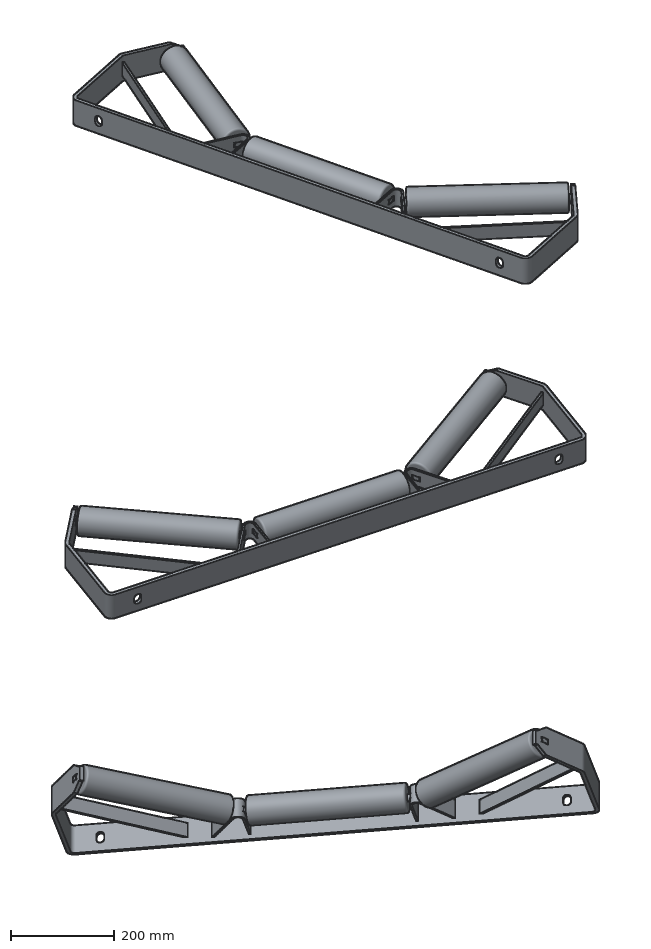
import cadquery as cq
import math

TOTAL_LENGTH = 1050.0
TOTAL_DEPTH = 291.0
BAR_WIDTH = 60.0
BAR_THICKNESS = 8.0
BAR_BEND_RADIUS = 16.0
TILT = 35.0
ARM_BEND_Y = 183.0

ARM_TAPER_LENGTH = 23.0
ARM_TAPER_DEPTH = 15.0
ARM_TIP_LENGTH = 5.0

MOUNT_SLOT_X = 460.0
MOUNT_SLOT_WIDTH = 16.0
MOUNT_SLOT_HEIGHT = 23.0

ROLLER_LENGTH = 315.0
ROLLER_DIAMETER = 60.0
ROLLER_EDGE_RADIUS = 4.0
ROLLER_GAP = 5.0
CENTRE_ROLLER_Y = 71.0
SIDE_ROLLER_DROP = 25.0

SHAFT_DIAMETER = 15.0
SHAFT_FLAT_WIDTH = 10.0
SEAT_SLOT_LENGTH = 18.0

BRACKET_THICKNESS = 4.0
BRACKET_WIDTH = 40.0
BRACKET_TOP_RADIUS = 14.0

BRACE_THICKNESS = 5.0
BRACE_WIDTH = 30.0
BRACE_FOOT_X = 291.0

HALF_LENGTH = TOTAL_LENGTH / 2
HALF_SPAN = ROLLER_LENGTH / 2 + ROLLER_GAP
COS_TILT = math.cos(math.radians(TILT))
SIN_TILT = math.sin(math.radians(TILT))
AXIS = cq.Vector(COS_TILT, -SIN_TILT, 0)
ARM = cq.Vector(SIN_TILT, COS_TILT, 0)
ALONG_X = cq.Vector(1, 0, 0)

ARM_BEND = cq.Vector(-HALF_LENGTH, ARM_BEND_Y, 0)
ARM_TIP = ARM_BEND + ARM * ((TOTAL_DEPTH - ARM_BEND_Y) / COS_TILT)
LEFT_CENTRE = ARM_TIP - ARM * SIDE_ROLLER_DROP + AXIS * (BAR_THICKNESS + HALF_SPAN)
MIDDLE_CENTRE = cq.Vector(0, CENTRE_ROLLER_Y, 0)


def mirror_x(point):
    return cq.Vector(-point.x, point.y, point.z)


def left_normal(start, end):
    direction = (end - start).normalized()
    return cq.Vector(-direction.y, direction.x, 0)


def bent_strip(outside, thickness, width, bend_radius):
    """Flat bar bent along the points of its outside; the bar lies to the left of the path."""
    normals = [left_normal(a, b) for a, b in zip(outside, outside[1:])]
    inside = [outside[0] + normals[0] * thickness]
    for corner, before, after in zip(outside[1:], normals, normals[1:]):
        inside.append(corner + (before + after) * (thickness / (1 + before.dot(after))))
    inside.append(outside[-1] + normals[-1] * thickness)

    outline = [(p.x, p.y) for p in outside + inside[::-1]]
    strip = cq.Workplane("XY").polyline(outline).close().extrude(width / 2, both=True)
    for corners, radius in ((outside, bend_radius), (inside, bend_radius - thickness)):
        for corner in corners[1:-1]:
            strip = strip.edges(cq.selectors.NearestToPointSelector(corner.toTuple())).fillet(radius)
    return strip


def roller_plane(centre, axis):
    """Local z runs along the roller and local y along Z."""
    return cq.Workplane(cq.Plane(origin=centre, xDir=axis.cross(cq.Vector(0, 0, -1)), normal=axis))


def seat_slot(centre, axis, side, depth):
    """Cutter for the slot that holds one shaft end, in a plate of the given thickness."""
    plate_middle = centre + axis * (side * (HALF_SPAN + depth / 2))
    through = 2 * depth
    return roller_plane(plate_middle, axis).box(SEAT_SLOT_LENGTH, SHAFT_FLAT_WIDTH, through)


def arm_corner(side):
    """Cutter that narrows one corner of the left arm: a taper, then a straight narrow tip."""
    edge = side * BAR_WIDTH / 2
    narrow_edge = side * (BAR_WIDTH / 2 - ARM_TAPER_DEPTH)
    outline = [(0, edge),
               (-ARM_TIP_LENGTH - ARM_TAPER_LENGTH, edge),
               (-ARM_TIP_LENGTH, narrow_edge),
               (0, narrow_edge)]
    return roller_plane(ARM_TIP, AXIS).polyline(outline).close().extrude(BAR_THICKNESS)


def make_frame():
    base_corner = cq.Vector(-HALF_LENGTH, 0, 0)
    left_side = [ARM_TIP, ARM_BEND, base_corner]
    outside = left_side + [mirror_x(p) for p in reversed(left_side)]
    frame = bent_strip(outside, BAR_THICKNESS, BAR_WIDTH, BAR_BEND_RADIUS)

    arm_cuts = [arm_corner(1), arm_corner(-1), seat_slot(LEFT_CENTRE, AXIS, -1, BAR_THICKNESS)]
    for cutter in arm_cuts:
        frame = frame.cut(cutter).cut(cutter.mirror("YZ"))

    mount_slots = (cq.Workplane("XZ").pushPoints([(-MOUNT_SLOT_X, 0), (MOUNT_SLOT_X, 0)])
                   .slot2D(MOUNT_SLOT_HEIGHT, MOUNT_SLOT_WIDTH, 90)
                   .extrude(-BAR_THICKNESS))
    return frame.cut(mount_slots)


def make_bracket():
    """Left bracket: an upright leg for the middle roller and a tilted one for the side roller."""
    upright_x = -HALF_SPAN
    tilted_face = LEFT_CENTRE + AXIS * HALF_SPAN
    peak = tilted_face + ARM * ((upright_x - tilted_face.x) / SIN_TILT)
    below_base = tilted_face - ARM * (tilted_face.y / COS_TILT)
    bracket = bent_strip([cq.Vector(upright_x, 0, 0), peak, below_base],
                         BRACKET_THICKNESS, BRACKET_WIDTH, BRACKET_TOP_RADIUS)
    base_bar = cq.Workplane("XY").box(TOTAL_LENGTH, 2 * BAR_THICKNESS, BAR_WIDTH)
    return (bracket.cut(base_bar)
            .cut(seat_slot(LEFT_CENTRE, AXIS, 1, BRACKET_THICKNESS))
            .cut(seat_slot(MIDDLE_CENTRE, ALONG_X, -1, BRACKET_THICKNESS)))


def make_brace(frame):
    """Left brace, from the arm bend down to the base bar, ending flush on the frame."""
    foot = cq.Vector(-BRACE_FOOT_X, BAR_THICKNESS, 0)
    head = ARM_BEND + ALONG_X * (BAR_THICKNESS / 2)
    offset = left_normal(foot, head) * (BRACE_THICKNESS / 2)
    overrun = (foot - head).normalized() * (BRACE_THICKNESS / 2)
    outline = [head + offset, head - offset, foot + overrun - offset, foot + overrun + offset]
    brace = (cq.Workplane("XY").polyline([(p.x, p.y) for p in outline]).close()
             .extrude(BRACE_WIDTH / 2, both=True))
    return brace.cut(frame)


def make_roller(centre, axis, first_plate, second_plate):
    """Roller with its shaft; the flattened shaft ends fill the thickness of the two plates."""
    roller = (roller_plane(centre - axis * (ROLLER_LENGTH / 2), axis)
              .circle(ROLLER_DIAMETER / 2).extrude(ROLLER_LENGTH)
              .edges().fillet(ROLLER_EDGE_RADIUS))
    middle = roller_plane(centre, axis)
    roller = roller.union(middle.circle(SHAFT_DIAMETER / 2).extrude(HALF_SPAN, both=True))
    for side, plate in ((-1, first_plate), (1, second_plate)):
        reach = side * (HALF_SPAN + plate)
        flats = middle.rect(SHAFT_DIAMETER, SHAFT_FLAT_WIDTH).extrude(reach)
        roller = roller.union(middle.circle(SHAFT_DIAMETER / 2).extrude(reach).intersect(flats))
    return roller


frame = make_frame()
bracket = make_bracket()
brace = make_brace(frame)
side_roller = make_roller(LEFT_CENTRE, AXIS, BAR_THICKNESS, BRACKET_THICKNESS)
middle_roller = make_roller(MIDDLE_CENTRE, ALONG_X, BRACKET_THICKNESS, BRACKET_THICKNESS)

solids = [frame.val(), middle_roller.val()]
for body in (bracket, brace, side_roller):
    solids += [body.val(), body.mirror("YZ").val()]

result = cq.Compound.makeCompound(solids)